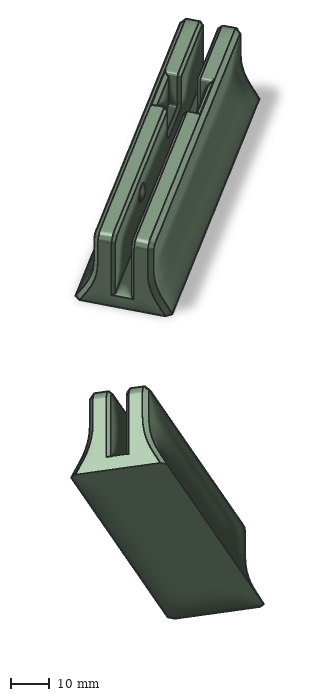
import cadquery as cq
import math

length = 87.0
base_width = 26.0
height = 24.0
wall_half_width = 8.0
flare_angle = math.radians(29)
flare_radius = 20.0
end_corner_radius = 3.0
outer_chamfer = 1.3

slot_width = 4.35
slot_floor = 3.9
slot_chamfer = 0.9

pocket_center_y = 14.6
pocket_length = 11.8
pocket_half_width = 5.4
pocket_floor = 13.05
pocket_floor_radius = 1.0
pocket_rim = 1.1

bump_center_y = -17.2
bump_center_z = 16.6
bump_radius = 4.35
bump_height = 0.9


def make_body():
    half_base = base_width / 2
    tangent_length = flare_radius * math.tan(flare_angle / 2)
    bend_z = (half_base - wall_half_width) / math.tan(flare_angle)
    arc_top = bend_z + tangent_length
    arc_center_x = wall_half_width + flare_radius

    def arc_point(angle):
        return (
            arc_center_x - flare_radius * math.cos(angle),
            arc_top - flare_radius * math.sin(angle),
        )

    foot_x, foot_z = arc_point(flare_angle)
    mid_x, mid_z = arc_point(flare_angle / 2)
    profile = (
        cq.Workplane("XZ")
        .moveTo(-half_base, 0)
        .lineTo(half_base, 0)
        .lineTo(foot_x, foot_z)
        .threePointArc((mid_x, mid_z), (wall_half_width, arc_top))
        .lineTo(wall_half_width, height)
        .lineTo(-wall_half_width, height)
        .lineTo(-wall_half_width, arc_top)
        .threePointArc((-mid_x, mid_z), (-foot_x, foot_z))
        .close()
    )
    body = profile.extrude(length / 2, both=True)
    body = body.faces(">Z").edges("|X").fillet(end_corner_radius)
    return body.faces(">Z").edges("|Y").chamfer(outer_chamfer)


def make_slot():
    return (
        cq.Workplane("XY", origin=(0, 0, slot_floor))
        .rect(slot_width, length)
        .extrude(height - slot_floor)
    )


def make_pocket():
    half_length = pocket_length / 2
    rim_z = height - pocket_rim
    lengthwise = (
        cq.Workplane("YZ", origin=(0, pocket_center_y, 0))
        .moveTo(-half_length + pocket_floor_radius, pocket_floor)
        .lineTo(half_length - pocket_floor_radius, pocket_floor)
        .tangentArcPoint((pocket_floor_radius, pocket_floor_radius))
        .lineTo(half_length, rim_z)
        .radiusArc((half_length + pocket_rim, height), pocket_rim)
        .lineTo(-half_length - pocket_rim, height)
        .radiusArc((-half_length, rim_z), pocket_rim)
        .lineTo(-half_length, pocket_floor + pocket_floor_radius)
        .tangentArcPoint((pocket_floor_radius, -pocket_floor_radius))
        .close()
        .extrude(base_width / 2, both=True)
    )
    crosswise = (
        cq.Workplane("XZ")
        .moveTo(-pocket_half_width, pocket_floor)
        .lineTo(pocket_half_width, pocket_floor)
        .lineTo(pocket_half_width, rim_z)
        .lineTo(pocket_half_width + pocket_rim, height)
        .lineTo(-pocket_half_width - pocket_rim, height)
        .lineTo(-pocket_half_width, rim_z)
        .close()
        .extrude(length / 2, both=True)
    )
    return lengthwise.intersect(crosswise)


def chamfer_slot_edges(body):
    for side in (-1, 1):
        wall_x = side * slot_width / 2
        margin = 0.01
        wall_edges = cq.selectors.BoxSelector(
            (wall_x - margin, -length, slot_floor + margin),
            (wall_x + margin, length, height + margin),
            boundingbox=False,
        )
        body = body.edges(wall_edges).chamfer(slot_chamfer)
    return body


def make_bump(side):
    center_x = side * (slot_width / 2 - bump_height + bump_radius)
    sphere = cq.Workplane("XY").sphere(bump_radius)
    sphere = sphere.translate((center_x, bump_center_y, bump_center_z))
    keep = cq.Workplane("XY").box(2 * abs(center_x), length, 2 * height)
    return sphere.intersect(keep)


result = make_body().cut(make_slot()).cut(make_pocket())
result = chamfer_slot_edges(result)
for side in (-1, 1):
    result = result.union(make_bump(side))